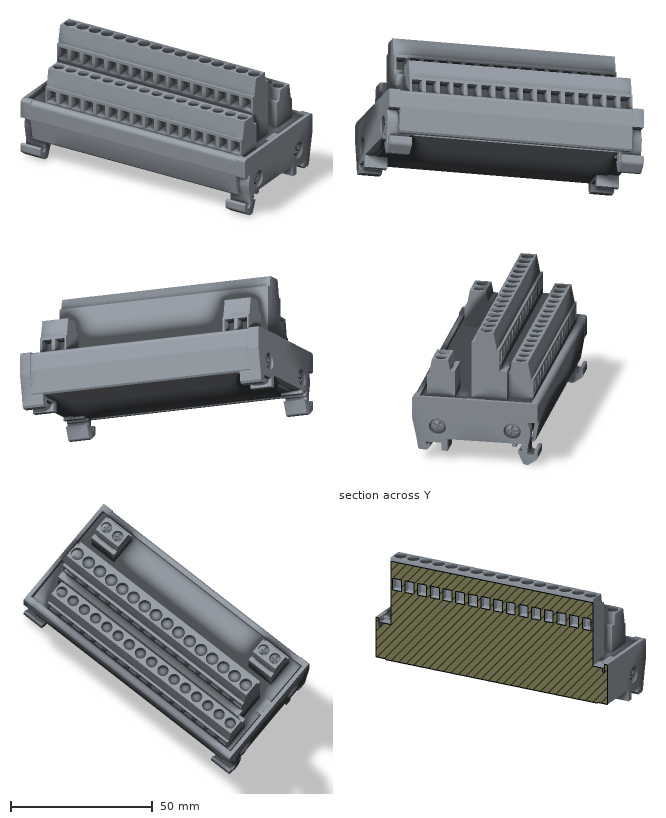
import cadquery as cq
import math

length = 93.0
depth = 45.15
half_length = length / 2
half_depth = depth / 2

cap_width = 4.0
cap_top = 22.9
cap_bottom = 7.65
cap_round = 1.05
cap_slope_top = 15.2
foot_width = 8.15
foot_bottom = 3.25
notch_top = 15.85

neck_top_y = -19.0
neck_bulge_upper = (-19.85, 13.2)
neck_bulge_lower = (-19.95, 11.5)
neck_curve_middle = (-19.65, 9.6)
neck_root_y = -19.2

foot_outer_y = 20.95
foot_shoulder_y = 20.35
foot_heel_y = 19.75
foot_toe_y = 17.05
foot_chamfer = 0.75
catch_tip_y = 15.9
catch_tip_z = 4.45
catch_neck_y = 16.6
catch_root_y = 17.4
catch_top = 5.1
catch_ceiling = 6.2
rib_outer_y = 11.85
rib_inner_y = 9.7
pad_front_y = -14.85
pad_back_y = -13.3
pad_bottom = 6.45

hook_front_y = -18.95
hook_neck_z = 5.7
hook_back_y = -16.9
hook_tooth_y = -16.25
hook_tooth_z = 6.1
hook_tooth_base_z = 5.9
hook_nose_y = -15.4
hook_nose_z = 4.7

heel_start = (-17.2, 0.75)
heel_middle = (-17.5, 0.25)
heel_end = (-18.1, 0)
underside_front = (-19.2, 0)
lip_bend_start = (-21.9, 1.9)
lip_bend_middle = (-22.4, 2.4)
lip_bend_end = (-half_depth, 3.0)
lip_tip_start = (-half_depth, 4.9)
lip_tip_middle = (-21.93, 5.55)
lip_tip_end = (-21.2, 4.8)
trough_middle = (-19.9, 3.2)
trough_end = (hook_front_y, 4.0)

body_inset = 0.12
body_half_depth = half_depth - body_inset
body_top = 22.7
body_bottom = 7.35
body_round = 1.6
body_slope_top = 16.15
skirt_foot_z = 7.95
skirt_lean = 1.4
skirt_thickness = 1.4
skirt_slot_top = 15.0
skirt_slot_inner_y = -18.0

recess_half_depth = 20.1
recess_half_length = 45.15
recess_floor = 19.8
board_half_length = 44.5
board_top = 21.3
tab_width = 5.95
tab_centre_y = 0.2
tab_reach = 2.6
tab_top = 22.1

pitch = 5.08
pole_count = 16
top_width = 5.8
wire_taper = 1.2
wire_step_drop = 6.45
back_taper = 0.75
back_step_drop = 3.95
low_block_top = 35.2
high_block_top = 46.6
screw_hole_depth = 2.95
rear_screw_depth = 2.1
window_width = 3.7
window_height = 4.6
window_drop = 1.1
window_depth = 4.0
window_draft = 5.0

block_length = pole_count * pitch
low_wire_y = -19.45
low_hole_radius = 2.0
high_wire_y = -7.83
high_hole_radius = 2.25
riser_front_y = -10.45
riser_top = 32.2
rear_wire_y = 18.3
rear_poles = 2
low_wire_step = 0.75
high_wire_step = 1.0
rear_wire_step = 0.6
block_depth = 10.05

terminal_cross_span = 2.3
terminal_slot_span = 3.9
cross_width = 0.65
cross_depth = 0.6
cap_screw_y = 13.4
cap_screw_z = 12.05
cap_screw_recess_radius = 3.05
cap_screw_recess_depth = 2.0
cap_screw_radius = 2.6
cap_screw_rim = 0.6
cap_screw_dome = 0.8
cap_cross_span = 4.0
cap_cross_width = 0.9
rear_cross_angle = -30.0


def box(x0, x1, y0, y1, z0, z1):
    """Axis-aligned box between two opposite corners."""
    return cq.Workplane("XY").box(x1 - x0, y1 - y0, z1 - z0, centered=False).translate((x0, y0, z0))


def along_x(x0):
    """Sketch plane facing +X at x0, with Y across and Z up."""
    return cq.Workplane("YZ", origin=(x0, 0, 0))


def mirror_ends(shape):
    """The shape together with its mirror image at the other end."""
    return shape.union(shape.mirror("YZ"))


def rounded_top(sketch, half_width, top, radius):
    """Continue up the -Y side, across the flat top and down onto the +Y side, rounding both corners."""
    inset = radius * (1 - math.sqrt(0.5))
    shoulder = top - radius
    sketch = sketch.lineTo(-half_width, shoulder)
    sketch = sketch.threePointArc((-half_width + inset, top - inset), (-half_width + radius, top))
    sketch = sketch.lineTo(half_width - radius, top)
    return sketch.threePointArc((half_width - inset, top - inset), (half_width, shoulder))


def make_body():
    skirt_foot_y = body_half_depth - skirt_lean
    skirt_chamfer = skirt_foot_z - body_bottom
    outline = along_x(-half_length + cap_width).moveTo(-body_half_depth, body_slope_top)
    outline = rounded_top(outline, body_half_depth, body_top, body_round)
    outline = outline.lineTo(body_half_depth, body_slope_top).lineTo(skirt_foot_y, skirt_foot_z)
    outline = outline.lineTo(skirt_foot_y - skirt_chamfer, body_bottom)
    outline = outline.lineTo(-skirt_foot_y + skirt_chamfer, body_bottom).lineTo(-skirt_foot_y, skirt_foot_z)
    body = outline.close().extrude(length - 2 * cap_width)

    lean_rate = skirt_lean / (body_slope_top - skirt_foot_z)
    slot_top_y = -body_half_depth + skirt_thickness + lean_rate * (body_slope_top - skirt_slot_top)
    slot_bottom_y = -body_half_depth + skirt_thickness + lean_rate * (body_slope_top - body_bottom)
    slot = along_x(-half_length).polyline([
        (slot_top_y, skirt_slot_top),
        (skirt_slot_inner_y, skirt_slot_top),
        (skirt_slot_inner_y, body_bottom),
        (slot_bottom_y, body_bottom),
    ]).close().extrude(length)
    return body.cut(slot)


def make_cap_plate():
    """Upper end plate with the curved neck that carries the front hook."""
    outline = along_x(-half_length).moveTo(neck_top_y, notch_top).lineTo(-half_depth, notch_top)
    outline = rounded_top(outline, half_depth, cap_top, cap_round)
    outline = outline.lineTo(half_depth, cap_slope_top).lineTo(foot_outer_y, cap_bottom)
    outline = outline.lineTo(neck_root_y, cap_bottom)
    outline = outline.threePointArc(neck_curve_middle, neck_bulge_lower).lineTo(*neck_bulge_upper)
    return outline.close().extrude(cap_width)


def make_rear_foot():
    """Fixed foot with the rail catch, and the stop rib beside it."""
    return along_x(-half_length).polyline([
        (foot_outer_y, cap_bottom),
        (foot_shoulder_y, foot_bottom + foot_chamfer),
        (foot_heel_y, foot_bottom),
        (foot_toe_y, foot_bottom),
        (catch_tip_y, catch_tip_z),
        (catch_neck_y, catch_top),
        (catch_root_y, catch_top),
        (catch_root_y, catch_ceiling),
        (rib_outer_y, catch_ceiling),
        (rib_outer_y, foot_bottom),
        (rib_inner_y, foot_bottom),
        (rib_inner_y, cap_bottom),
    ]).close().extrude(foot_width)


def make_hook():
    """Spring hook below the neck, with the release lip curled up at the front."""
    hook = along_x(-half_length).moveTo(hook_front_y, hook_neck_z).lineTo(neck_root_y, cap_bottom)
    hook = hook.lineTo(hook_back_y, cap_bottom).lineTo(hook_tooth_y, hook_tooth_z)
    hook = hook.lineTo(hook_back_y, hook_tooth_base_z).lineTo(hook_back_y, hook_nose_z)
    hook = hook.lineTo(hook_nose_y, hook_nose_z).lineTo(*heel_start)
    hook = hook.threePointArc(heel_middle, heel_end).lineTo(*underside_front).lineTo(*lip_bend_start)
    hook = hook.threePointArc(lip_bend_middle, lip_bend_end).lineTo(*lip_tip_start)
    hook = hook.threePointArc(lip_tip_middle, lip_tip_end)
    hook = hook.threePointArc(trough_middle, trough_end)
    return hook.close().extrude(foot_width)


def make_cross(span_x, span_y, width, height):
    """Cross-shaped driver recess centred on the origin, reaching equally above and below it."""
    return cq.Workplane("XY").box(span_x, width, height).union(cq.Workplane("XY").box(width, span_y, height))


def make_cap_screw(angle):
    """Screw head with a domed top facing +Z, its rim starting at the origin."""
    top = cap_screw_rim + cap_screw_dome
    head = cq.Workplane("XZ").lineTo(cap_screw_radius, 0).lineTo(cap_screw_radius, cap_screw_rim)
    sphere_radius = (cap_screw_radius ** 2 + cap_screw_dome ** 2) / (2 * cap_screw_dome)
    mid_radius = cap_screw_radius / 2
    mid_height = top - sphere_radius + math.sqrt(sphere_radius ** 2 - mid_radius ** 2)
    head = head.threePointArc((mid_radius, mid_height), (0, top)).close().revolve(360, (0, 0), (0, 1))
    cross = make_cross(cap_cross_span, cap_cross_span, cap_cross_width, 2 * cap_screw_dome)
    return head.cut(cross.rotate((0, 0, 0), (0, 0, 1), angle).translate((0, 0, top)))


def make_end():
    """The complete end at -X: plate, feet and the two recessed screws."""
    end = make_cap_plate().union(make_rear_foot()).union(make_hook())
    end = end.union(box(-half_length, -half_length + foot_width, pad_front_y, pad_back_y,
                        pad_bottom, cap_bottom))
    for y, angle in ((cap_screw_y, rear_cross_angle), (-cap_screw_y, 0)):
        recess = along_x(-half_length).center(y, cap_screw_z).circle(cap_screw_recess_radius)
        end = end.cut(recess.extrude(cap_screw_recess_depth))
        head = make_cap_screw(angle).rotate((0, 0, 0), (0, 1, 0), -90)
        end = end.union(head.translate((-half_length + cap_screw_recess_depth, y, cap_screw_z)))
    return end


def make_housing():
    housing = make_body().union(mirror_ends(make_end()))
    housing = housing.cut(box(-recess_half_length, recess_half_length, -recess_half_depth, recess_half_depth,
                              recess_floor, cap_top))
    board = box(-board_half_length, board_half_length, -recess_half_depth, recess_half_depth,
                recess_floor, board_top)
    tab = box(-recess_half_length, -recess_half_length + tab_reach, -tab_width / 2, tab_width / 2,
              recess_floor, tab_top).translate((0, tab_centre_y, 0))
    return housing.union(board).union(mirror_ends(tab))


def make_window(x, wire_y, out, top):
    """Tapered wire entry sunk from the wire face at wire_y, which faces out along Y."""
    window = cq.Workplane("XZ").rect(window_width, window_height).extrude(window_depth, taper=window_draft)
    if out < 0:
        window = window.mirror("XZ")
    return window.translate((x, wire_y, top - window_height / 2))


def make_terminal(centre_x, poles, wire_y, out, step, top, hole_radius, hole_depth, crossed=False):
    """Stepped block with a screw hole and a wire entry for each pole; out is the wire side, -1 or +1 in Y."""
    width = poles * pitch
    wire_edge = step + wire_taper
    back_edge = wire_edge + top_width
    wire_step_z = top - wire_step_drop
    back_step_z = top - back_step_drop
    profile = [
        (0, recess_floor),
        (0, wire_step_z),
        (step, wire_step_z),
        (wire_edge, top),
        (back_edge, top),
        (back_edge + back_taper, back_step_z),
        (block_depth, back_step_z),
        (block_depth, recess_floor),
    ]
    outline = [(wire_y - out * inward, z) for inward, z in profile]
    block = along_x(centre_x - width / 2).polyline(outline).close().extrude(width)

    hole_y = wire_y - out * (wire_edge + top_width / 2)
    for pole in range(poles):
        x = centre_x + (pole - (poles - 1) / 2) * pitch
        hole = cq.Workplane("XY").circle(hole_radius).extrude(hole_depth)
        block = block.cut(hole.translate((x, hole_y, top - hole_depth)))
        block = block.cut(make_window(x, wire_y, out, wire_step_z - window_drop))
        if crossed:
            cross = make_cross(terminal_cross_span, terminal_slot_span, cross_width, 2 * cross_depth)
            block = block.cut(cross.translate((x, hole_y, top - hole_depth)))
    return block


def make_terminals():
    low = make_terminal(pitch / 2, pole_count, low_wire_y, -1, low_wire_step,
                        low_block_top, low_hole_radius, screw_hole_depth)
    high = make_terminal(0, pole_count, high_wire_y, -1, high_wire_step,
                         high_block_top, high_hole_radius, screw_hole_depth)
    riser = box(-block_length / 2, block_length / 2, riser_front_y, high_wire_y, recess_floor, riser_top)
    terminals = low.union(high).union(riser)
    rear_x = (pole_count - rear_poles) / 2 * pitch
    for x in (-rear_x, rear_x):
        rear = make_terminal(x, rear_poles, rear_wire_y, 1, rear_wire_step,
                             low_block_top, low_hole_radius, rear_screw_depth, crossed=True)
        terminals = terminals.union(rear)
    return terminals


result = make_housing().union(make_terminals())